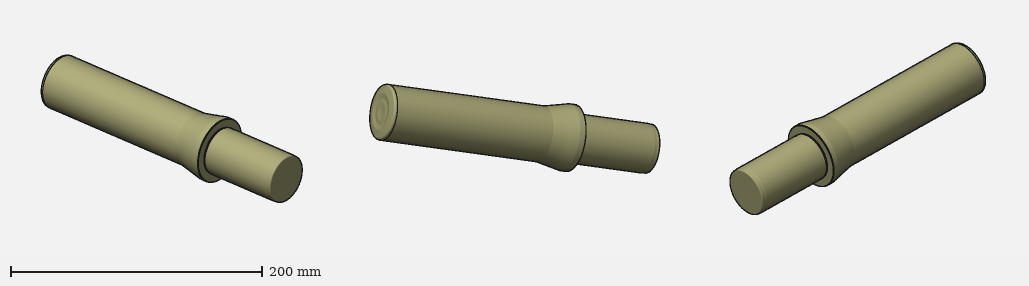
import cadquery as cq

length = 240.0
tip_length = 3.4
taper_start = 143.0
collar_start = 165.0
collar_end = 170.2
neck_end = 171.4
shank_end = 235.7
relief_start = 237.0

drill_radius = 45.0 / 2
collar_radius = 54.0 / 2
shank_radius = 40.0 / 2
relief_radius = 39.5 / 2
collar_chamfer = 0.5
end_round = 1.0

inner_crest_radius = 7.0
groove_radius = 10.5
outer_crest_radius = 15.0
face_rim_radius = 20.6
centre_depth = 1.0
inner_crest_depth = 0.35
groove_depth = 0.7
rim_depth = 0.7
corner_round = drill_radius - face_rim_radius

tip_x = -length / 2


def revolve_about_x(outline):
    """Turn a closed half profile about the tool axis and place it."""
    turned = outline.close().revolve(360, (0, 0, 0), (1, 0, 0))
    return turned.translate((tip_x, 0, 0))


def make_cutting_tip():
    """Ringed cutting face with a rounded corner on a short cylinder."""
    face_outline = cq.Workplane("XY").polyline([
        (tip_length, 0),
        (centre_depth, 0),
        (inner_crest_depth, inner_crest_radius),
        (groove_depth, groove_radius),
        (0, outer_crest_radius),
        (rim_depth, face_rim_radius),
    ])
    corner_end = (rim_depth + corner_round, drill_radius)
    rounded_outline = face_outline.radiusArc(corner_end, corner_round)
    outline = rounded_outline.lineTo(tip_length, drill_radius)
    return revolve_about_x(outline)


def make_holder():
    """Drill body, flared collar and relieved cylindrical shank."""
    outline = cq.Workplane("XY").polyline([
        (tip_length, 0),
        (tip_length, drill_radius),
        (taper_start, drill_radius),
        (collar_start, collar_radius),
        (collar_end - collar_chamfer, collar_radius),
        (collar_end, collar_radius - collar_chamfer),
        (collar_end, relief_radius),
        (neck_end, relief_radius),
        (neck_end, shank_radius),
        (shank_end, shank_radius),
        (relief_start, relief_radius),
        (length, relief_radius),
        (length, 0),
    ])
    return revolve_about_x(outline).faces(">X").edges().fillet(end_round)


cutting_tip = make_cutting_tip()
holder = make_holder()
result = cq.Compound.makeCompound([cutting_tip.val(), holder.val()])